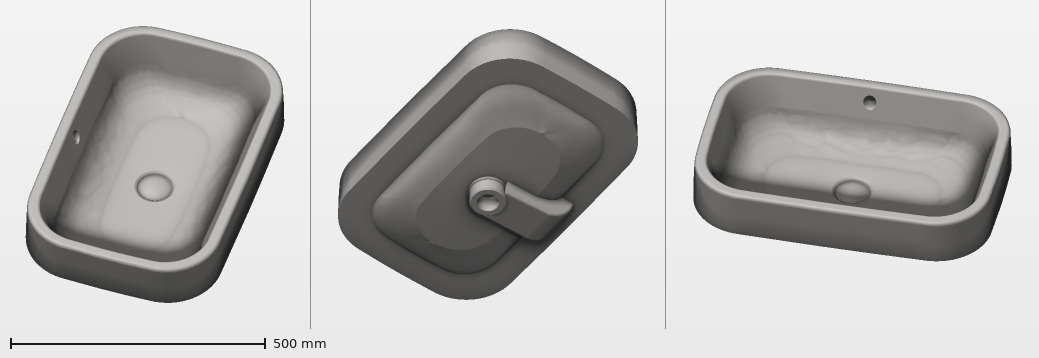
import cadquery as cq
import math

length = 599.5
width = 401.0
rim_height = 96.0
drain_bottom = -70.0

skirt_corner = 110.5
shoulder_height = 48.0
shoulder_inset = 0.5
rim_inset = 2.5
rim_round = 7.0
lip_round = 6.0

side_bow = 2.0
floor_bow = 3.5

floor_centre = -25.0
underside_centre = -38.0
floor_slope = 0.055
cone_reach = 360.0

mouth = (176.0, 276.0, 91.0)
ledge = (149.5, 252.5, 75.5)
wall_middle = (136.0, 237.5, 78.0)
blend = (105.0, 206.0, 72.0)
floor_edge = (77.0, 178.0, 66.0)
ledge_height = 34.0
wall_middle_height = 8.5
blend_rise = 5.5

shell_start = (152.0, 253.0, 78.0)
shell_root = (144.5, 242.0, 78.0)
shell_blend = (121.0, 212.0, 78.0)
underside_edge = (87.0, 180.0, 78.0)
shell_start_height = 12.0
shell_blend_rise = 9.5

run_on_depth = 6.0
run_on_inset = 24.0

boss_diameter = 73.0
boss_chamfer = 3.0
collar_diameter = 77.0
collar_bottom = -42.0
boss_top = underside_centre + 6.0

duct_left = -175.0
duct_right = -17.0
duct_bend = (-156.5, -36.5)
duct_bend_end = (-124.0, -56.5)
duct_bottom = -65.0
duct_half_top = 50.0
duct_half_bottom = 38.5
duct_round = 5.5

overflow_diameter = 25.0
overflow_height = 65.5
overflow_end = -183.0
overflow_round = 1.5

flange_diameter = 80.5
flange_thickness = 9.5
dish_diameter = 73.0
dish_drop = 2.5
seat_diameter = 67.0
seat_drop = 6.0
pipe_diameter = 47.0
pipe_bore = 44.0
flange_top = floor_centre + floor_slope * flange_diameter / 2
flange_bottom = flange_top - flange_thickness
seat_height = flange_top - seat_drop

stopper_diameter = 62.5
stopper_edge = 0.5
stopper_dome = 6.0


def outline(z, section, bow=side_bow, slope=0.0):
    """Rounded rectangle with bowed sides; slope lifts each point by its distance from the drain axis."""
    half_width, half_length, corner = section
    x = half_width - bow
    y = half_length - bow
    inset = corner * (1 - math.sqrt(0.5))

    points = [
        (x, corner - y),
        (half_width, 0),
        (x, y - corner),
        (x - inset, y - inset),
        (x - corner, y),
        (0, half_length),
        (corner - x, y),
        (inset - x, y - inset),
    ]
    points += [(-px, -py) for px, py in points]
    lifted = [cq.Vector(px, py, z + slope * math.hypot(px, py)) for px, py in points]
    closed = lifted + lifted[:1]
    arcs = [cq.Edge.makeThreePointArc(*closed[i:i + 3]) for i in range(0, len(lifted), 2)]
    return cq.Wire.assembleEdges(arcs)


def loft(outlines):
    return cq.Workplane(cq.Solid.makeLoft(outlines))


def cylinder(diameter, bottom, top):
    return cq.Workplane("XY", origin=(0, 0, bottom)).circle(diameter / 2).extrude(top - bottom)


def revolved(half_profile):
    """Turn a closed profile in the XZ plane about the drain axis."""
    return half_profile.close().revolve(360, (0, 0), (0, 1))


def above_cone(centre):
    """Everything above the shallow cone that rises outwards from the given centre height."""
    edge = centre + floor_slope * cone_reach
    return revolved(
        cq.Workplane("XZ").polyline([
            (0, centre),
            (cone_reach, edge),
            (cone_reach, rim_height),
            (0, rim_height),
        ])
    )


def run_on(centre, edge_section):
    """Smaller outline below the cone, so that a bowl loft passes right through it."""
    smaller = tuple(size - run_on_inset for size in edge_section)
    return outline(centre - run_on_depth, smaller, floor_bow)


def make_skirt():
    levels = [(0, 0), (shoulder_height, shoulder_inset), (rim_height, rim_inset)]
    return loft(
        [outline(z, (width / 2 - inset, length / 2 - inset, skirt_corner)) for z, inset in levels]
    )


def make_upper_cavity():
    return loft([outline(rim_height, mouth), outline(ledge_height, ledge)])


def make_lower_cavity():
    return loft([
        outline(ledge_height, ledge),
        outline(wall_middle_height, wall_middle),
        outline(floor_centre + blend_rise, blend, floor_bow, floor_slope),
        outline(floor_centre, floor_edge, floor_bow, floor_slope),
        run_on(floor_centre, floor_edge),
    ]).intersect(above_cone(floor_centre))


def make_shell():
    """Outside of the bowl where it hangs below the skirt."""
    return loft([
        outline(shell_start_height, shell_start),
        outline(0, shell_root),
        outline(underside_centre + shell_blend_rise, shell_blend, floor_bow, floor_slope),
        outline(underside_centre, underside_edge, floor_bow, floor_slope),
        run_on(underside_centre, underside_edge),
    ]).intersect(above_cone(underside_centre))


def make_boss():
    boss = cylinder(boss_diameter, drain_bottom, boss_top).faces("<Z").chamfer(boss_chamfer)
    return boss.union(cylinder(collar_diameter, collar_bottom, boss_top))


def make_duct():
    side = (
        cq.Workplane("XZ")
        .moveTo(duct_left, 0)
        .threePointArc(duct_bend, duct_bend_end)
        .lineTo(duct_right, duct_bottom)
        .lineTo(duct_right, 0)
        .close()
        .extrude(duct_half_top, both=True)
    )
    cross_section = (
        cq.Workplane("YZ", origin=(duct_left, 0, 0))
        .polyline([
            (-duct_half_top, 0),
            (duct_half_top, 0),
            (duct_half_bottom, duct_bottom),
            (-duct_half_bottom, duct_bottom),
        ])
        .close()
        .extrude(duct_right - duct_left)
    )
    duct = side.intersect(cross_section)
    return duct.edges("not(>Z or >X or |Y)").fillet(duct_round)


def make_overflow_hole():
    """Blind hole into the left wall of the bowl."""
    return (
        cq.Workplane("YZ", origin=(overflow_end, 0, overflow_height))
        .circle(overflow_diameter / 2)
        .extrude(-overflow_end)
    )


def make_drain_recess():
    """Counterbore and bore that the drain fitting fills."""
    counterbore = cylinder(flange_diameter, flange_bottom, flange_top)
    return counterbore.union(cylinder(pipe_diameter, drain_bottom, flange_top))


def make_basin():
    upper_cavity = make_upper_cavity()
    basin = make_skirt().cut(upper_cavity)
    rim_edge = basin.faces(">Z").val().outerWire().Edges()
    basin = basin.newObject(rim_edge).fillet(rim_round)
    lip_edge = basin.faces(">Z").val().innerWires()[0].Edges()
    basin = basin.newObject(lip_edge).fillet(lip_round)

    basin = basin.union(make_shell()).union(make_duct()).union(make_boss())
    basin = basin.cut(make_lower_cavity()).cut(upper_cavity)

    basin = basin.cut(make_overflow_hole())
    mouth_zone = cq.selectors.BoxSelector(
        (overflow_end + overflow_round, -overflow_diameter, overflow_height - overflow_diameter),
        (0, overflow_diameter, overflow_height + overflow_diameter),
    )
    basin = basin.edges(mouth_zone).edges("not |X").fillet(overflow_round)
    return basin.cut(make_drain_recess())


def make_drain_fitting():
    return revolved(
        cq.Workplane("XZ").polyline([
            (pipe_bore / 2, drain_bottom),
            (pipe_diameter / 2, drain_bottom),
            (pipe_diameter / 2, flange_bottom),
            (flange_diameter / 2, flange_bottom),
            (flange_diameter / 2, flange_top),
            (dish_diameter / 2, flange_top - dish_drop),
            (seat_diameter / 2, seat_height),
            (pipe_bore / 2, seat_height),
        ])
    )


def make_stopper():
    radius = stopper_diameter / 2
    edge_top = seat_height + stopper_edge
    dome_top = edge_top + stopper_dome
    dome_radius = (radius**2 + stopper_dome**2) / (2 * stopper_dome)
    half_angle = math.asin(radius / dome_radius) / 2
    dome_middle = (
        dome_radius * math.sin(half_angle),
        dome_top - dome_radius * (1 - math.cos(half_angle)),
    )
    return revolved(
        cq.Workplane("XZ")
        .moveTo(0, seat_height)
        .lineTo(radius, seat_height)
        .lineTo(radius, edge_top)
        .threePointArc(dome_middle, (0, dome_top))
    )


basin = make_basin()
drain_fitting = make_drain_fitting()
stopper = make_stopper()

result = cq.Compound.makeCompound([basin.val(), drain_fitting.val(), stopper.val()])